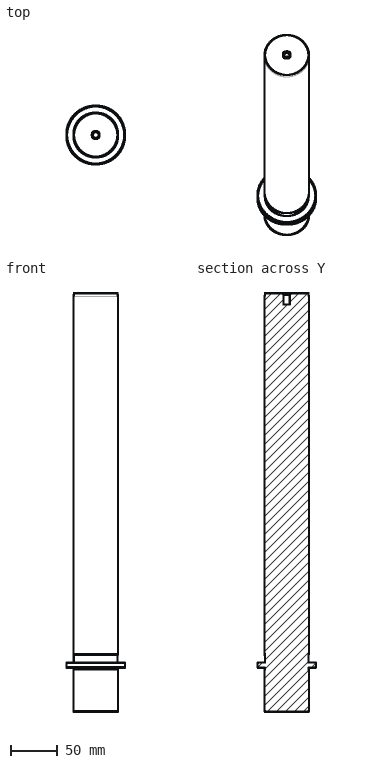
import cadquery as cq

total_length = 447.0
pillar_radius = 24.0

collar_radius = 31.5
collar_bottom = 47.0
collar_thickness = 6.0
collar_top = collar_bottom + collar_thickness
collar_chamfer = 1.0

groove_depth = 0.5
groove_run_out = 1.0
groove_width = 9.0
groove_radius = pillar_radius - groove_depth
groove_top = collar_top + groove_width

undercut_depth = 0.3
undercut_width = 1.5
undercut_radius = pillar_radius - undercut_depth
undercut_bottom = collar_bottom - undercut_width

lead_in_height = 3.5
lead_in_depth = 0.9
bottom_chamfer = 0.8

centre_mouth_diameter = 8.5
centre_drill_diameter = 6.4
centre_cone_angle = 60.0
centre_drill_depth = 12.0


def pillar_body():
    """Revolve the half profile of the pillar, collar, groove and undercut about Z."""
    return (
        cq.Workplane("XZ")
        .moveTo(0, 0)
        .lineTo(pillar_radius - bottom_chamfer, 0)
        .lineTo(pillar_radius, bottom_chamfer)
        .lineTo(pillar_radius, undercut_bottom)
        .lineTo(undercut_radius, undercut_bottom)
        .lineTo(undercut_radius, collar_bottom)
        .lineTo(collar_radius - collar_chamfer, collar_bottom)
        .lineTo(collar_radius, collar_bottom + collar_chamfer)
        .lineTo(collar_radius, collar_top - collar_chamfer)
        .lineTo(collar_radius - collar_chamfer, collar_top)
        .lineTo(groove_radius, collar_top)
        .lineTo(groove_radius, groove_top - groove_run_out)
        .lineTo(pillar_radius, groove_top)
        .lineTo(pillar_radius, total_length - lead_in_height)
        .lineTo(pillar_radius - lead_in_depth, total_length)
        .lineTo(0, total_length)
        .close()
        .revolve(360, (0, 0, 0), (0, 1, 0))
    )


def cut_centre_hole(body):
    """Cut the countersunk centre hole into the top face."""
    return body.faces(">Z").workplane().cskHole(
        centre_drill_diameter, centre_mouth_diameter, centre_cone_angle, centre_drill_depth
    )


result = cut_centre_hole(pillar_body())